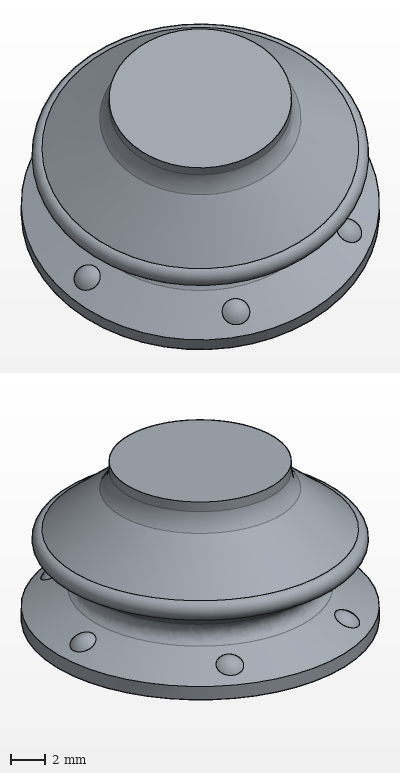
import cadquery as cq
import math

total_height = 10.4
base_radius = 10.5
base_rim_height = 0.88

groove_apex_radius = 6.53
groove_apex_height = 2.73
groove_fillet = 0.8

lip_outer_radius = 9.87
lip_mid_height = 5.3
lip_half_height = 0.6
lip_depth = 0.59
lip_root_radius = lip_outer_radius - lip_depth

neck_diameter = 10.69
neck_radius = neck_diameter / 2
shoulder_height = 9.05
shoulder_fillet = 1.47

bump_count = 6
bump_pitch_radius = 9.11
bump_base_radius = 0.8
bump_height = 0.32


def make_body():
    """Revolve the bellows outline about Z and round its two inner corners."""
    outline = (
        cq.Workplane("XZ")
        .lineTo(base_radius, 0)
        .lineTo(base_radius, base_rim_height)
        .lineTo(groove_apex_radius, groove_apex_height)
        .lineTo(lip_root_radius, lip_mid_height - lip_half_height)
        .threePointArc(
            (lip_outer_radius, lip_mid_height),
            (lip_root_radius, lip_mid_height + lip_half_height),
        )
        .lineTo(neck_radius, shoulder_height)
        .lineTo(neck_radius, total_height)
        .lineTo(0, total_height)
        .close()
    )
    body = outline.revolve(360, (0, 0, 0), (0, 1, 0))
    body = fillet_ring(body, groove_apex_radius, groove_apex_height, groove_fillet)
    return fillet_ring(body, neck_radius, shoulder_height, shoulder_fillet)


def fillet_ring(body, ring_radius, ring_height, fillet_radius):
    """Round the circular edge with the given radius and height."""
    margin = 0.02
    reach = ring_radius + margin
    corner_low = (-reach, -reach, ring_height - margin)
    corner_high = (reach, reach, ring_height + margin)
    ring = body.edges(cq.selectors.BoxSelector(corner_low, corner_high, boundingbox=True))
    return ring.fillet(fillet_radius)


def make_bump():
    """Sphere whose cap stands on the base cone, centred on the cone normal at +X."""
    cone_rise = groove_apex_height - base_rim_height
    cone_run = base_radius - groove_apex_radius
    cone_angle = math.atan2(cone_rise, cone_run)
    surface_height = base_rim_height + (base_radius - bump_pitch_radius) * math.tan(cone_angle)
    sphere_radius = (bump_base_radius**2 + bump_height**2) / (2 * bump_height)
    sphere_depth = sphere_radius - bump_height
    center_radius = bump_pitch_radius - sphere_depth * math.sin(cone_angle)
    center_height = surface_height - sphere_depth * math.cos(cone_angle)
    sphere = cq.Workplane("XY").sphere(sphere_radius).translate((center_radius, 0, center_height))
    keep_size = 4 * sphere_radius
    keep = cq.Workplane("XY").box(keep_size, keep_size, keep_size, centered=(True, True, False))
    return sphere.intersect(keep.translate((center_radius, 0, 0)))


result = make_body()
bump = make_bump()
for index in range(bump_count):
    turn = index * 360 / bump_count
    result = result.union(bump.rotate((0, 0, 0), (0, 0, 1), turn))